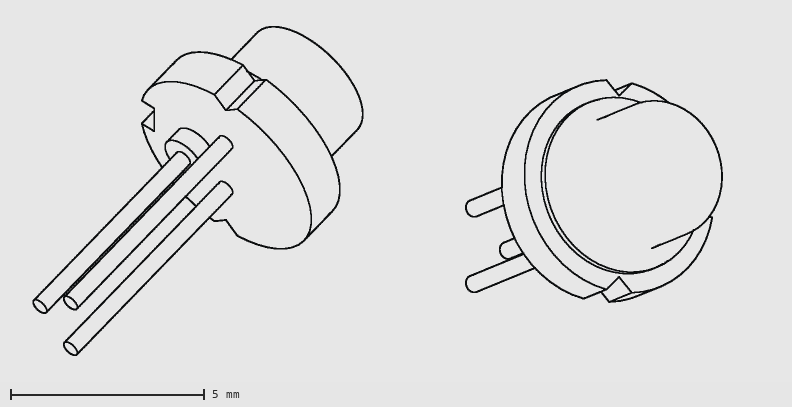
import cadquery as cq

STEM_RADIUS = 2.8
STEM_THICKNESS = 1.2
V_NOTCH_ROOT = 2.4
SLOT_WIDTH = 1.0
SLOT_FLOOR = 2.35

FLANGE_RADIUS = 2.3
FLANGE_THICKNESS = 0.2
CAN_RADIUS = 1.8
CAN_LENGTH = 2.1
RIM_FILLET = 0.1
ROOT_FILLET = 0.18

LEAD_DIAMETER = 0.45
LEAD_RADIUS = LEAD_DIAMETER / 2
LEAD_LENGTH = 6.5
LEAD_OFFSET = 1.0
COLLAR_RADIUS = 0.6
COLLAR_LENGTH = 0.5


def cylinder(radius, start_y, length, x=0, z=0):
    """Cylinder along +Y that starts at start_y."""
    start = cq.Vector(x, start_y, z)
    return cq.Workplane(cq.Solid.makeCylinder(radius, length, start, cq.Vector(0, 1, 0)))


def v_notch(side):
    """Right-angled wedge cutting the rim on the +Z (side = 1) or -Z (side = -1) side."""
    half_width = STEM_RADIUS - V_NOTCH_ROOT
    return (
        cq.Workplane("XZ")
        .moveTo(0, side * V_NOTCH_ROOT)
        .lineTo(half_width, side * STEM_RADIUS)
        .lineTo(-half_width, side * STEM_RADIUS)
        .close()
        .extrude(-STEM_THICKNESS)
    )


def square_slot():
    """Block cutting the rim on the -X side."""
    depth = STEM_RADIUS - SLOT_FLOOR
    return (
        cq.Workplane("XZ")
        .center(-SLOT_FLOOR - depth / 2, 0)
        .rect(depth, SLOT_WIDTH)
        .extrude(-STEM_THICKNESS)
    )


def make_stem():
    """Notched disc with two plain leads fixed to its rear face."""
    stem = cylinder(STEM_RADIUS, 0, STEM_THICKNESS)
    stem = stem.cut(square_slot())
    for side in (1, -1):
        stem = stem.cut(v_notch(side))
        stem = stem.union(cylinder(LEAD_RADIUS, -LEAD_LENGTH, LEAD_LENGTH, z=side * LEAD_OFFSET))
    return stem


def make_cap():
    """Flanged can with a rounded front rim and a fillet where it meets the flange."""
    flange_front = STEM_THICKNESS + FLANGE_THICKNESS
    flange = cylinder(FLANGE_RADIUS, STEM_THICKNESS, FLANGE_THICKNESS)
    can = cylinder(CAN_RADIUS, flange_front, CAN_LENGTH)
    cap = flange.union(can)
    cap = cap.faces(">Y").edges().fillet(RIM_FILLET)
    root_edge = cq.selectors.RadiusNthSelector(0)
    return cap.faces("<Y[1]").edges(root_edge).fillet(ROOT_FILLET)


def make_collared_lead():
    """Lead with a wide collar that seats against the rear face of the stem."""
    lead = cylinder(LEAD_RADIUS, -LEAD_LENGTH, LEAD_LENGTH, x=-LEAD_OFFSET)
    collar = cylinder(COLLAR_RADIUS, -COLLAR_LENGTH, COLLAR_LENGTH, x=-LEAD_OFFSET)
    return lead.union(collar)


stem = make_stem()
cap = make_cap()
collared_lead = make_collared_lead()

result = cq.Compound.makeCompound([stem.solids().val(), cap.solids().val(), collared_lead.solids().val()])